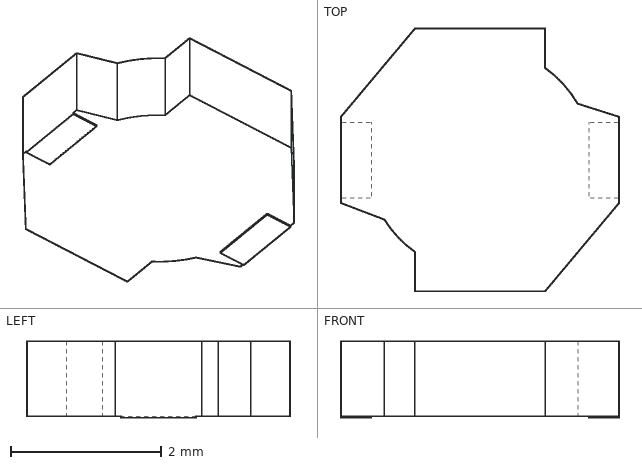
import cadquery as cq
import math

body_length = 3.7
body_width = 3.5
body_height = 1.0

end_face_width = 1.15
side_face_length = 1.73
core_radius = 1.5
front_notch_angle = 212.0
rear_notch_angle = 30.0

pad_length = 0.4
pad_width = 1.0
pad_thickness = 0.02


def core_point(angle):
    """Point on the core circle at a polar angle in degrees."""
    a = math.radians(angle)
    return (core_radius * math.cos(a), core_radius * math.sin(a))


def make_body():
    """Octagonal prism with two opposite corners notched down to the round core."""
    end_x = body_length / 2
    side_y = body_width / 2
    end_y = end_face_width / 2
    side_x = side_face_length / 2

    wall_angle = math.degrees(math.acos(side_x / core_radius))
    rear_mid_angle = (wall_angle + rear_notch_angle) / 2
    front_wall_angle = wall_angle + 180
    front_mid_angle = (front_wall_angle + front_notch_angle) / 2

    return (
        cq.Workplane("XY")
        .moveTo(-side_x, side_y)
        .lineTo(side_x, side_y)
        .lineTo(*core_point(wall_angle))
        .threePointArc(core_point(rear_mid_angle), core_point(rear_notch_angle))
        .lineTo(end_x, end_y)
        .lineTo(end_x, -end_y)
        .lineTo(side_x, -side_y)
        .lineTo(-side_x, -side_y)
        .lineTo(*core_point(front_wall_angle))
        .threePointArc(core_point(front_mid_angle), core_point(front_notch_angle))
        .lineTo(-end_x, -end_y)
        .lineTo(-end_x, end_y)
        .close()
        .extrude(body_height)
    )


def make_pads():
    """Thin pads on the underside, flush with the -X and +X faces."""
    pad_center_x = (body_length - pad_length) / 2
    return (
        cq.Workplane("XY")
        .pushPoints([(-pad_center_x, 0), (pad_center_x, 0)])
        .rect(pad_length, pad_width)
        .extrude(-pad_thickness)
    )


result = make_body().union(make_pads())